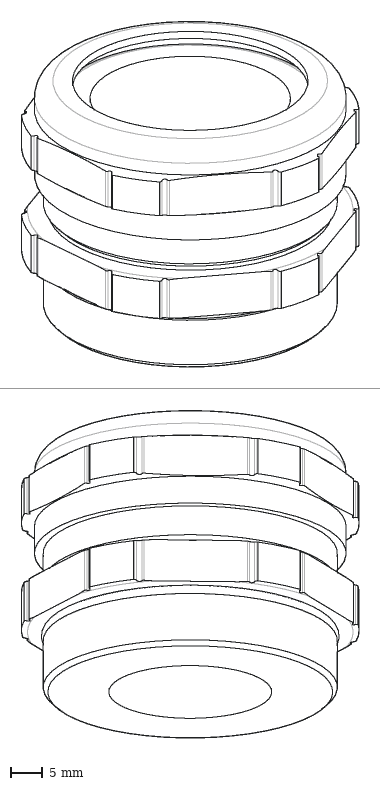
import cadquery as cq
import math


body_radius = 47.0 / 2
neck_radius = 45.45 / 2
body_bevel = 0.75
thread_length = 8.6
flange_bottom = 10.1
flange_top = 17.05
neck_top = 17.75

ring_core_radius = 44.8 / 2
ring_thickness = 1.35
ring_bottom = flange_bottom - ring_thickness
ring_centre_radius = ring_core_radius + ring_thickness / 2

nut_radius = 49.8 / 2
nut_bottom = 23.35
nut_hex_bottom = 27.9
nut_hex_top = 34.8
total_height = 39.8
dome_fillet = 2.95

sides = 6
corner_diameter = 53.95
corner_radius = corner_diameter / 2
across_flats = 50.15
flange_bevel_width = 0.95
flange_bevel_drop = 0.2
nut_bevel_width = corner_radius - nut_radius
nut_bevel_drop = 0.5

groove_offset = 9.0
groove_radius = 0.45
groove_depth = 0.51
groove_edge_fillet = 0.4
groove_half_width = math.sqrt(
    (groove_radius + groove_edge_fillet) ** 2
    - (groove_radius - groove_depth + groove_edge_fillet) ** 2
)

lip_radius = 37.6 / 2
lip_thickness = 1.25
cavity_radius = 42.0 / 2
insert_radius = 41.6 / 2
insert_bevel_width = 0.6
insert_bevel_drop = 0.15
insert_top = 36.75
bore_radius = 32.0 / 2
through_radius = 26.0 / 2
floor_top = flange_bottom


def make_body():
    """Revolve the round outside of the body, seal ring and nut as a full solid."""
    dome_start = total_height - dome_fillet
    dome_edge = nut_radius - dome_fillet
    dome_middle = dome_fillet * math.sqrt(0.5)
    return (
        cq.Workplane("XZ")
        .lineTo(body_radius - body_bevel, 0)
        .lineTo(body_radius, body_bevel)
        .lineTo(body_radius, thread_length)
        .lineTo(ring_core_radius, thread_length)
        .lineTo(ring_core_radius, ring_bottom)
        .lineTo(ring_centre_radius, ring_bottom)
        .threePointArc(
            (ring_centre_radius + ring_thickness / 2, ring_bottom + ring_thickness / 2),
            (ring_centre_radius, flange_bottom),
        )
        .lineTo(neck_radius, flange_bottom)
        .lineTo(neck_radius, neck_top)
        .lineTo(body_radius, neck_top + body_bevel)
        .lineTo(body_radius, nut_bottom)
        .lineTo(nut_radius, nut_bottom)
        .lineTo(nut_radius, dome_start)
        .threePointArc(
            (dome_edge + dome_middle, dome_start + dome_middle),
            (dome_edge, total_height),
        )
        .lineTo(0, total_height)
        .close()
        .revolve(360, (0, 0), (0, 1))
    )


def turned(point, angle):
    """Point turned about the Z axis by an angle in degrees."""
    x, y = point
    cosine = math.cos(math.radians(angle))
    sine = math.sin(math.radians(angle))
    return (x * cosine - y * sine, x * sine + y * cosine)


def groove_arcs(centre_x):
    """Three smooth arcs across a groove in the +Y flat, as (middle, end) points from +X to -X."""
    flat = across_flats / 2
    fillet_y = flat - groove_edge_fillet
    groove_y = flat - groove_depth + groove_radius
    rise = groove_y - fillet_y
    tilt = math.atan2(rise, groove_half_width)
    join_x = groove_radius * math.cos(tilt)
    join_y = groove_y - groove_radius * math.sin(tilt)
    fillet_angle = (tilt + math.pi / 2) / 2
    fillet_x = groove_half_width - groove_edge_fillet * math.cos(fillet_angle)
    fillet_mid_y = fillet_y + groove_edge_fillet * math.sin(fillet_angle)
    return [
        ((centre_x + fillet_x, fillet_mid_y), (centre_x + join_x, join_y)),
        ((centre_x, flat - groove_depth), (centre_x - join_x, join_y)),
        ((centre_x - fillet_x, fillet_mid_y), (centre_x - groove_half_width, flat)),
    ]


def make_outline():
    """Hexagon outline with rounded corners and two grooves in each flat."""
    flat = across_flats / 2
    flat_end = math.sqrt(corner_radius**2 - flat**2)
    corner_middle = turned((0, corner_radius), 360 / sides / 2)
    outline = cq.Workplane("XY").moveTo(flat_end, flat)
    for side in range(sides):
        angle = 360 / sides * side
        for centre_x in (groove_offset, -groove_offset):
            outline = outline.lineTo(*turned((centre_x + groove_half_width, flat), angle))
            for middle, end in groove_arcs(centre_x):
                outline = outline.threePointArc(turned(middle, angle), turned(end, angle))
        outline = outline.lineTo(*turned((-flat_end, flat), angle))
        next_flat = turned((flat_end, flat), angle + 360 / sides)
        outline = outline.threePointArc(turned(corner_middle, angle), next_flat)
    return outline.close()


def make_hexagon(bottom, top, bevel_width, bevel_drop):
    """Grooved hexagon with conical bevels at the top and bottom of its corners."""
    height = top - bottom
    bevel_start = corner_radius - bevel_width
    cone_tip = bevel_start + height / 2 * bevel_width / bevel_drop
    bevel_cones = (
        cq.Workplane("XZ")
        .lineTo(bevel_start, 0)
        .lineTo(cone_tip, height / 2)
        .lineTo(bevel_start, height)
        .lineTo(0, height)
        .close()
        .revolve(360, (0, 0), (0, 1))
    )
    return make_outline().extrude(height).intersect(bevel_cones).translate((0, 0, bottom))


def make_inside():
    """Revolve the hollow: entry lip, cavity over the insert, bore and through hole."""
    lip_bottom = total_height - lip_thickness
    return (
        cq.Workplane("XZ")
        .lineTo(through_radius, 0)
        .lineTo(through_radius, floor_top)
        .lineTo(bore_radius, floor_top)
        .lineTo(bore_radius, insert_top)
        .lineTo(insert_radius - insert_bevel_width, insert_top)
        .lineTo(insert_radius, insert_top - insert_bevel_drop)
        .lineTo(cavity_radius, insert_top - insert_bevel_drop)
        .lineTo(cavity_radius, lip_bottom)
        .lineTo(lip_radius, lip_bottom)
        .lineTo(lip_radius, total_height)
        .lineTo(0, total_height)
        .close()
        .revolve(360, (0, 0), (0, 1))
    )


flange = make_hexagon(flange_bottom, flange_top, flange_bevel_width, flange_bevel_drop)
nut_hexagon = make_hexagon(nut_hex_bottom, nut_hex_top, nut_bevel_width, nut_bevel_drop)
result = make_body().union(flange).union(nut_hexagon).cut(make_inside())